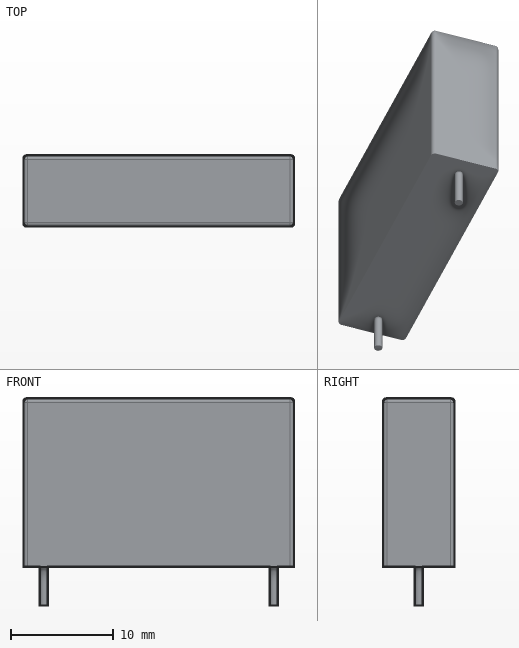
import cadquery as cq

housing_length = 26.5
housing_width = 7.0
housing_height = 16.5
edge_radius = 0.4

overall_height = 20.3
pin_length = overall_height - housing_height
pin_diameter = 0.8
pin_spacing = 22.5


def make_housing():
    """Block with rounded upright and top edges and a sharp bottom rim."""
    block = cq.Workplane("XY").box(
        housing_length, housing_width, housing_height, centered=(True, True, False)
    )
    return block.edges("|Z or >Z").fillet(edge_radius)


def make_pin(x):
    """Round lead whose upper end butts against the underside of the housing."""
    return cq.Workplane("XY").center(x, 0).circle(pin_diameter / 2).extrude(-pin_length)


housing = make_housing()

pins = []
for side in (-1, 1):
    pin = make_pin(side * pin_spacing / 2)
    pins.append(pin.val())

result = cq.Compound.makeCompound([housing.val(), *pins])